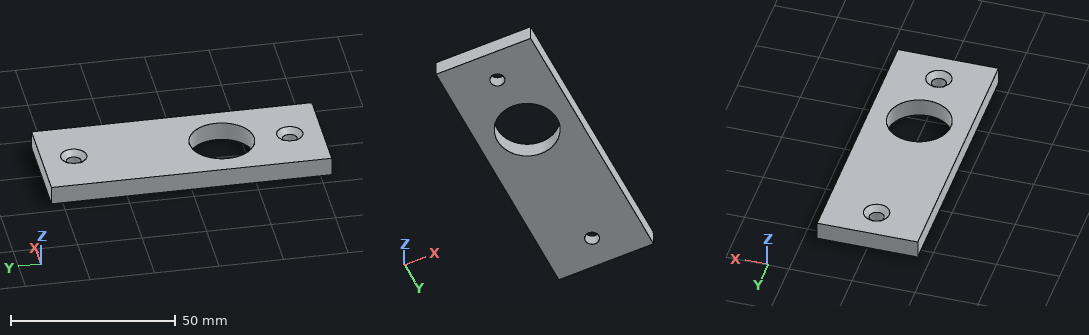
import cadquery as cq

length = 87.0
width = 32.0
thickness = 6.0

bore_diameter = 20.0
bore_y = -12.4

screw_spacing = 67.0
screw_diameter = 4.5
countersink_diameter = 8.0
countersink_angle = 90.0

plate = cq.Workplane("XY").box(width, length, thickness)

with_bore = plate.faces(">Z").workplane().center(0, bore_y).hole(bore_diameter)

screw_positions = [(0, -screw_spacing / 2), (0, screw_spacing / 2)]
result = (
    with_bore.faces(">Z")
    .workplane(origin=(0, 0, 0))
    .pushPoints(screw_positions)
    .cskHole(screw_diameter, countersink_diameter, countersink_angle)
)